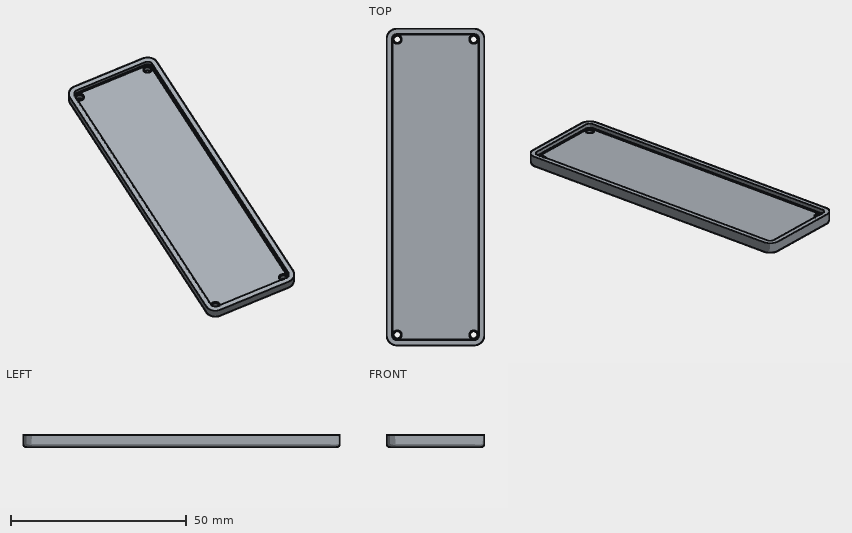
import cadquery as cq

length = 90.1
width = 27.8
height = 3.5
corner_radius = 3.0
bottom_fillet = 1.0

floor_thickness = 2.0
wall_thickness = 1.5
edge_chamfer = 0.3

hole_diameter = 2.0
hole_inset = 3.1

hole_spacing_x = width - 2 * hole_inset
hole_spacing_y = length - 2 * hole_inset


def rounded_block(inset, bottom, top):
    """Block inset evenly from the outer outline, between two levels."""
    return (
        cq.Workplane("XY", origin=(0, 0, bottom))
        .rect(width - 2 * inset, length - 2 * inset)
        .extrude(top - bottom)
        .edges("|Z")
        .fillet(corner_radius - inset)
    )


def countersunk_cutter():
    """Hole cutter whose upper end flares out to meet the floor."""
    hole_radius = hole_diameter / 2
    sink_radius = hole_radius + edge_chamfer
    profile = [
        (0, 0),
        (hole_radius, 0),
        (hole_radius, floor_thickness - edge_chamfer),
        (sink_radius, floor_thickness),
        (0, floor_thickness),
    ]
    return cq.Workplane("XZ").polyline(profile).close().revolve(360, (0, 0), (0, 1))


body = rounded_block(0, 0, height).faces("<Z").edges().fillet(bottom_fillet)

cavity = rounded_block(wall_thickness, floor_thickness, height)
body = body.cut(cavity.faces("<Z").edges().chamfer(edge_chamfer))

cutter = countersunk_cutter()
for side_x in (-1, 1):
    for side_y in (-1, 1):
        position = (side_x * hole_spacing_x / 2, side_y * hole_spacing_y / 2, 0)
        body = body.cut(cutter.translate(position))

result = body